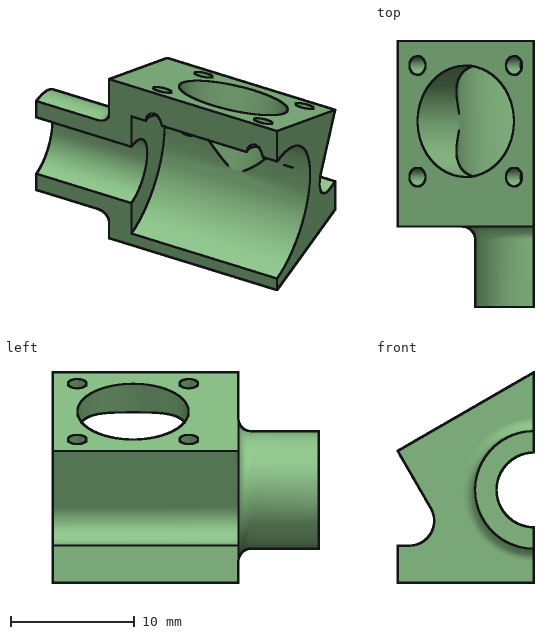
import cadquery as cq
import math

width = 11.0
body_length = 15.0
total_length = 21.5
height = 17.0
tilt = 30.0
foot_height = 3.0
neck_radius = 2.0

axis_height = 7.5
tube_radius = 4.75
tube_bore_radius = 3.0
root_fillet = 1.0
chamber_radius = 6.25
end_wall = 2.0

port_radius = 4.5
port_depth = 7.95
port_from_back = 6.5
screw_spacing = 9.0
screw_radius = 0.75
screw_depth = 5.0

slope = math.tan(math.radians(tilt))
shoulder_height = height - width * slope
neck_edge_x = (shoulder_height - foot_height) * slope
overshoot = 0.22


def cylinder_y(radius, start, end):
    """Cylinder along Y on the tube axis."""
    circle = cq.Workplane("XZ", origin=(width, start, axis_height)).circle(radius)
    return circle.extrude(start - end)


def make_body():
    """Foot, undercut neck and sloping head as one profile along Y."""
    profile = [
        (0, 0),
        (width, 0),
        (width, height),
        (0, shoulder_height),
        (neck_edge_x, foot_height),
        (0, foot_height),
    ]
    body = cq.Workplane("XZ").polyline(profile).close().extrude(-body_length)
    neck = cq.selectors.NearestToPointSelector((neck_edge_x, body_length / 2, foot_height))
    return body.edges(neck).fillet(neck_radius)


def make_tube():
    """Half tube with a concave flare where it meets the body."""
    tube_length = total_length - body_length
    flare_middle = root_fillet * (1 - math.sqrt(0.5))
    section = (
        cq.Workplane("XY")
        .moveTo(0, overshoot)
        .lineTo(-tube_radius - root_fillet, overshoot)
        .lineTo(-tube_radius - root_fillet, 0)
        .threePointArc((-tube_radius - flare_middle, -flare_middle), (-tube_radius, -root_fillet))
        .lineTo(-tube_radius, -tube_length)
        .lineTo(0, -tube_length)
        .close()
    )
    round_tube = section.revolve(axisStart=(0, 0), axisEnd=(0, 1)).translate((width, 0, axis_height))
    keep = cq.Workplane("XY").box(width, 2 * total_length, height, centered=(False, True, False))
    return round_tube.intersect(keep)


def mounting_face():
    """Workplane on the sloping face, at the port centre, pointing outwards."""
    origin = (width / 2, body_length - port_from_back, (shoulder_height + height) / 2)
    angle = math.radians(tilt)
    along = (math.cos(angle), 0, math.sin(angle))
    outward = (-math.sin(angle), 0, math.cos(angle))
    return cq.Workplane(cq.Plane(origin=origin, xDir=along, normal=outward))


tube_bore = cylinder_y(tube_bore_radius, body_length - total_length - overshoot, body_length)
chamber = cylinder_y(chamber_radius, end_wall, body_length + overshoot)

port = mounting_face().circle(port_radius).extrude(-port_depth)
screws = (
    mounting_face()
    .rect(screw_spacing, screw_spacing, forConstruction=True)
    .vertices()
    .circle(screw_radius)
    .extrude(-screw_depth)
)

result = make_body().union(make_tube()).cut(tube_bore).cut(chamber).cut(port).cut(screws)